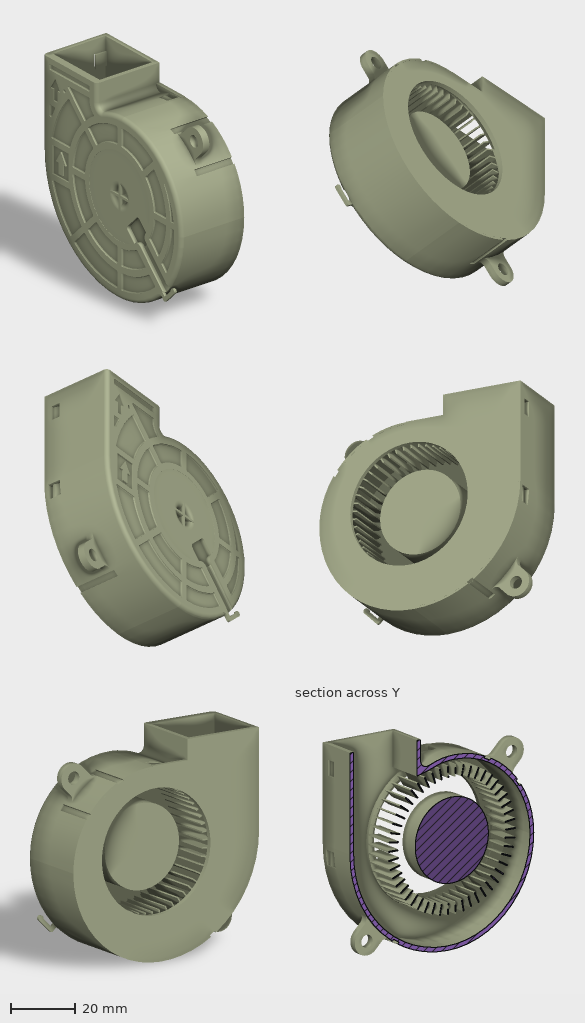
import cadquery as cq
import math


depth = 25.0
top_z = 34.5
scroll_radius = 37.15
centre_left = -1.7
centre_right = 1.05
centre_high = 1.55
centre_low = -2.65
centre_step_x = centre_right - centre_left
centre_step_z = centre_high - centre_low
radius_left = scroll_radius
radius_bottom = radius_left - centre_step_z
radius_right = radius_bottom - centre_step_x
radius_top = radius_right - centre_step_z
left_x = centre_left - radius_left
outlet_width = 27.05
outlet_right_x = left_x + outlet_width
tongue_radius = 2.1
inner_tongue_z = 22.7

wall = 1.6
front_wall = 2.65
rim_fillet = 1.4
rebate_inset = 0.7
cover_thickness = 1.6
cover_y = depth - cover_thickness
web_thickness = 1.4
web_end_x = 1.25
web_top_z = 27.7

panel_inset = 3.35
pocket_depth = 0.55
pocket_chamfer = 0.3
pocket_corner_radius = 0.4
spoke_half_width = 1.05
wire_spoke_half_width = 4.3
inner_ring = (17.5, 23.8)
outer_ring_radius = 26.1
outlet_ring_radius = 35.25
corner_ring_radius = 37.3
arrow_bar_half_height = 7.1
outlet_pocket_top = 28.3
wedge_top = 12.9
corner_pocket_z = (14.2, 18.4)
slot_z = (30.35, 32.45)
dot_place = (-27.9, 25.7)
dot_radius = 0.6

arrow_length = 7.9
arrow_head_length = 4.0
arrow_half_width = 2.5
arrow_stem_half_width = 1.05
outlet_arrow_tip = (-32.5, 28.4)
framed_arrow_tip = (-29.8, 4.0)
frame_x = (-33.85, -25.9)
frame_half_height = 5.0

label_radius = 15.4
label_depth = 0.1

bearing_hole_radius = 2.4
bearing_flare = front_wall - label_depth
bearing_rim_radius = bearing_hole_radius + bearing_flare
bar_width = 0.85

wire_pad_start = 9.05
wire_pad_half_width = 4.3
wire_pad_corner = 1.05
wire_pad_depth = 1.55
channel_half_width = 1.9
channel_depth = 1.0
channel_chamfer = 0.5
channel_start = 17.65
neck_radius = 2.1
hook_inner = 34.6
hook_width = 1.4
hook_foot = -3.5
hook_tip = 4.0
hook_depth = 1.0
hook_corner = 0.7
hook_tip_radius = 0.9
hook_flare = 1.75
hook_flat = 1.25
hook_root = 30.8

ear_places = ((23.4, 24.6), (-31.6, -27.95))
ear_y = 11.3
ear_thickness = 2.45
ear_radius = 4.6
ear_hole_radius = 2.1
ear_root_fillet = 2.1
ear_root_distance = (1.1 * ear_radius, 3 * ear_radius)

groove_width = 2.2
groove_end_y = 10.15
groove_depth = 0.7
groove_offset = 7.65
lower_groove_offset = 5.75

window_length = 5.2
window_y = (18.9, 22.1)
snap_gap = 0.15
snap_arm_thickness = 0.7
barb_flat = 0.5
outlet_snap_z = 26.9
scroll_snap_z = -2.45
top_snap_x = -2.5
top_snap_wall_z = centre_high + math.sqrt(radius_top**2 - (centre_right - top_snap_x) ** 2)

blade_count = 50
blade_outer_radius = 24.25
blade_inner_radius = 20.3
blade_thickness = 0.5
impeller_y = 3.1
rim_y = 20.95
rim_height = 1.1
rim_inner_radius = 22.85
rim_outer_radius = 24.4
base_radius = 21.0
base_thickness = 0.7
hub_radius = 14.0
hub_height = 14.0
inlet_radius = 20.45

beyond = 70.1
overrun = 0.7


def front_plane(y=0.0):
    """Plane facing -Y at the given depth, with local axes X and Z."""
    return cq.Workplane("XZ", origin=(0, y, 0))


def prism(profile_at, y_from, y_to):
    """Extrude the closed profile drawn by profile_at(workplane) between two depths."""
    return profile_at(front_plane(y_to)).extrude(y_to - y_from)


def block(x_range, y_range, z_range):
    """Box given by its extents along each axis."""
    size = [limits[1] - limits[0] for limits in (x_range, y_range, z_range)]
    return cq.Workplane("XY").box(*size, centered=False).translate((x_range[0], y_range[0], z_range[0]))


def disc(radius, y_from, y_to):
    """Cylinder on the fan axis."""
    return prism(lambda plane: plane.circle(radius), y_from, y_to)


def ring(inner, outer, y_from, y_to):
    """Tube on the fan axis."""
    return prism(lambda plane: plane.circle(outer).circle(inner), y_from, y_to)


def on_diagonal(shape):
    """Turn a shape built along +X so that it lies along the -45 degree direction."""
    return shape.rotate((0, 0, 0), (0, 1, 0), 45)


def diagonal_block(outward, y_range, sideways):
    """Box with its length along the -45 degree direction and its width along +45 degrees."""
    return on_diagonal(block(outward, y_range, sideways))


def scroll(y_from, y_to, inset=0.0, top=top_z, square_tongue=False):
    """Scroll and outlet outline, moved inward by inset and cut off flat at top.

    The corner between outlet and scroll is round unless square_tongue is set.
    """
    left = left_x + inset
    right = outlet_right_x - inset
    corner_radius = tongue_radius + inset
    corner_x = right + corner_radius
    reach = radius_top + tongue_radius
    corner_rise = math.sqrt(reach**2 - (centre_right - corner_x) ** 2)
    corner_z = centre_high + corner_rise
    share = (radius_top - inset) / reach
    tongue_end = (centre_right + (corner_x - centre_right) * share, centre_high + corner_rise * share)
    bottom = (centre_left, centre_low - radius_bottom + inset)
    side = (centre_right + radius_right - inset, centre_low)
    crown = (centre_right, centre_low + radius_right - inset)
    outline = (
        front_plane(y_to)
        .moveTo(left, top)
        .lineTo(left, centre_high)
        .radiusArc(bottom, -(radius_left - inset))
        .radiusArc(side, -(radius_bottom - inset))
        .radiusArc(crown, -(radius_right - inset))
        .radiusArc(tongue_end, -(radius_top - inset))
    )
    if square_tongue:
        outline = outline.lineTo(right, inner_tongue_z)
    else:
        outline = outline.radiusArc((right, corner_z), corner_radius)
    outline = outline.lineTo(right, top).close()
    return outline.extrude(y_to - y_from)


def arrow(tip, y_from, y_to):
    """Upward arrow with its tip at the given place."""
    x, z = tip
    head_z = z - arrow_head_length
    tail_z = z - arrow_length
    points = [
        (x, z),
        (x + arrow_half_width, head_z),
        (x + arrow_stem_half_width, head_z),
        (x + arrow_stem_half_width, tail_z),
        (x - arrow_stem_half_width, tail_z),
        (x - arrow_stem_half_width, head_z),
        (x - arrow_half_width, head_z),
    ]
    return prism(lambda plane: plane.polyline(points).close(), y_from, y_to)


def sector(first_angle, last_angle, y_from, y_to):
    """Triangle that covers the part between two directions less than 180 degrees apart."""
    points = [(0, 0)]
    for angle in (first_angle, last_angle):
        direction = math.radians(angle)
        points.append((beyond * math.cos(direction), beyond * math.sin(direction)))
    return prism(lambda plane: plane.polyline(points).close(), y_from, y_to)


def spokes():
    """Ribs left standing between the pockets."""
    through = (0, pocket_depth)
    rib = block((-beyond, beyond), through, (-spoke_half_width, spoke_half_width))
    ribs = rib
    for angle in (45, 90, 135):
        ribs = ribs.union(rib.rotate((0, 0, 0), (0, 1, 0), angle))
    wire_spoke = (-wire_spoke_half_width, wire_spoke_half_width)
    return ribs.union(diagonal_block((0, beyond), through, wire_spoke))


def panel_pockets():
    """All the shallow ring-shaped pockets of the front panel."""
    through = (0, pocket_depth)
    panel = scroll(*through, inset=panel_inset, top=outlet_pocket_top)
    ribs = spokes()
    wide_sector = sector(45, 90, *through).cut(disc(inner_ring[0], *through))
    inner = ring(*inner_ring, *through).union(wide_sector).intersect(panel).cut(ribs)

    arrow_bar = block((-beyond, -inner_ring[1]), through, (-arrow_bar_half_height, arrow_bar_half_height))
    outlet_margin = sector(135, 180, *through).cut(disc(outlet_ring_radius, *through))
    outer = panel.cut(disc(outer_ring_radius, *through)).cut(ribs).cut(arrow_bar).cut(outlet_margin)

    wedge_sector = sector(0, 45, *through)
    wedge = outer.intersect(wedge_sector).intersect(block((0, beyond), through, (0, wedge_top)))
    outer = outer.cut(wedge_sector)

    corner = block((left_x + panel_inset, -inner_ring[1]), through, corner_pocket_z)
    corner = corner.cut(disc(corner_ring_radius, *through)).intersect(sector(135, 180, *through))

    slot = block((left_x + panel_inset, outlet_right_x - panel_inset), through, slot_z)

    pockets = [wedge]
    for group in (inner, outer, corner, slot):
        for pocket in group.solids().vals():
            rounded = cq.Workplane(pocket).edges("|Y").fillet(pocket_corner_radius)
            pockets.append(rounded.faces(">Y").edges().chamfer(pocket_chamfer))
    return pockets


def arrow_marks():
    """Sunk arrow and dot by the outlet, and a sunk frame around a raised arrow."""
    through = (0, pocket_depth)
    frame = block(frame_x, through, (-frame_half_height, frame_half_height))
    frame = frame.cut(arrow(framed_arrow_tip, *through))
    dot = prism(lambda plane: plane.center(*dot_place).circle(dot_radius), *through)
    return [arrow(outlet_arrow_tip, *through), frame, dot]


def bearing_opening():
    """Flared hole in the front wall, crossed by two bars."""
    half_section = (
        cq.Workplane("XY")
        .lineTo(bearing_rim_radius, 0)
        .lineTo(bearing_rim_radius, label_depth)
        .radiusArc((bearing_hole_radius, front_wall), bearing_flare)
        .lineTo(0, front_wall)
        .close()
    )
    opening = half_section.revolve(360, (0, 0, 0), (0, 1, 0))
    bar = block((-beyond, beyond), (label_depth, front_wall), (-bar_width / 2, bar_width / 2))
    return opening.cut(bar).cut(bar.rotate((0, 0, 0), (0, 1, 0), 90))


def wire_exit():
    """Wire pad inside the label circle and the channel that leads from it to the rim."""
    pad_side = (-wire_pad_half_width, wire_pad_half_width)
    pad = block((wire_pad_start, label_radius + neck_radius), (0, wire_pad_depth), pad_side)
    pad = on_diagonal(pad.edges("|Y and <X").fillet(wire_pad_corner))
    pad = pad.intersect(disc(label_radius, 0, wire_pad_depth))
    channel_side = (-channel_half_width, channel_half_width)
    neck = diagonal_block((wire_pad_start + neck_radius, channel_start), (0, wire_pad_depth), channel_side)
    corner = math.sqrt(label_radius**2 - channel_half_width**2)
    pad = pad.union(neck)
    for side in (-channel_half_width, channel_half_width):
        x = (corner + side) / math.sqrt(2)
        z = (side - corner) / math.sqrt(2)
        near_corner = cq.selectors.NearestToPointSelector((x, wire_pad_depth / 2, z))
        pad = pad.edges("|Y").edges(near_corner).fillet(neck_radius)
    channel = block((channel_start, hook_inner), (0, channel_depth), channel_side)
    channel = channel.faces(">Y").edges("|X").chamfer(channel_chamfer)
    return pad.union(on_diagonal(channel))


def wire_hook():
    """L-shaped hook with a flared root and a round tip that holds the wire at the rim."""
    hook_outer = hook_inner + hook_width
    outline = (
        front_plane(hook_depth)
        .moveTo(hook_root, hook_foot - hook_flare)
        .lineTo(hook_outer - hook_corner - hook_flare - hook_flat, hook_foot - hook_flare)
        .radiusArc((hook_outer - hook_corner - hook_flat, hook_foot), hook_flare)
        .lineTo(hook_outer - hook_corner, hook_foot)
        .radiusArc((hook_outer, hook_foot + hook_corner), -hook_corner)
        .lineTo(hook_outer, hook_tip - hook_tip_radius)
        .lineTo(hook_inner, hook_tip - hook_tip_radius)
        .lineTo(hook_inner, hook_foot + hook_width)
        .lineTo(hook_root, hook_foot + hook_width)
        .close()
    )
    tip = front_plane(hook_depth).center(hook_outer - hook_tip_radius, hook_tip - hook_tip_radius)
    hook = outline.extrude(hook_depth).union(tip.circle(hook_tip_radius).extrude(hook_depth))
    return on_diagonal(hook).cut(scroll(0, hook_depth, inset=rim_fillet))


def ear(place):
    """Mounting ear pointing away from the fan axis along the 45 degree line."""
    x, z = place
    direction = math.copysign(1, x)
    length = 2 * ear_radius
    half = ear_radius / math.sqrt(2)
    reach = direction * length / math.sqrt(2)
    points = [
        (x - half, z + half),
        (x - half - reach, z + half - reach),
        (x + half - reach, z - half - reach),
        (x + half, z - half),
    ]
    y_range = (ear_y, ear_y + ear_thickness)
    arm = prism(lambda plane: plane.polyline(points).close(), *y_range)
    return arm.union(prism(lambda plane: plane.center(x, z).circle(ear_radius), *y_range))


def add_ear(body, place):
    """Join an ear to the scroll and round the two corners where its sides meet the wall."""
    joined = body.union(ear(place))
    centre = cq.Vector(place[0], ear_y + ear_thickness / 2, place[1])

    def is_root_corner(edge):
        distance = (edge.Center() - centre).Length
        return ear_root_distance[0] < distance < ear_root_distance[1]

    return joined.newObject(joined.edges("|Y").filter(is_root_corner).vals()).fillet(ear_root_fillet)


def grooves():
    """Shallow grooves in the outer wall beside the ears, open at the back."""
    span = (groove_end_y, depth)
    band = scroll(*span, inset=-overrun).cut(scroll(*span, inset=groove_depth))
    half = groove_width / 2
    cuts = []
    for outward, offset in ((1, -groove_offset), (1, groove_offset), (-1, lower_groove_offset)):
        sideways = sorted((0, outward * beyond))
        cuts.append(diagonal_block((offset - half, offset + half), span, sideways).intersect(band))
    return cuts


def windows():
    """Openings in the outer wall for the snaps; those on the scroll reach back to the cover."""
    half = window_length / 2
    side_x = (left_x - overrun, left_x + 2 * wall)
    top_x = (top_snap_x - half, top_snap_x + half)
    scroll_y = (window_y[0], cover_y)
    return [
        block(side_x, window_y, (outlet_snap_z - half, outlet_snap_z + half)),
        block(side_x, scroll_y, (scroll_snap_z - half, scroll_snap_z + half)),
        block(top_x, scroll_y, (top_snap_wall_z - 2 * wall, top_snap_wall_z + overrun)),
    ]


def snap():
    """Snap arm with a ramped barb, built with the outer wall face at X = 0 and +X outward."""
    arm_x = (-wall - snap_arm_thickness, -wall)
    barb_y = (window_y[0] + snap_gap, window_y[1])
    length = window_length - 2 * snap_gap
    points = [
        (arm_x[0], cover_y),
        (arm_x[1], cover_y),
        (arm_x[1], barb_y[1]),
        (-rebate_inset, barb_y[1]),
        (-rebate_inset, barb_y[1] - barb_flat),
        (arm_x[1], barb_y[0]),
        (arm_x[0], barb_y[0]),
    ]
    return cq.Workplane("XY", origin=(0, 0, -length / 2)).polyline(points).close().extrude(length)


def snaps():
    """The three snaps, trimmed to the space that the housing leaves for them."""
    places = ((left_x, outlet_snap_z, 180), (left_x, scroll_snap_z, 180), (top_snap_x, top_snap_wall_z, 90))
    space = scroll(front_wall, cover_y, inset=wall, square_tongue=True)
    for window in windows():
        space = space.union(window)
    turned = []
    for x, z, angle in places:
        turned.append(snap().rotate((0, 0, 0), (0, 1, 0), -angle).translate((x, 0, z)).intersect(space))
    return turned


def make_housing():
    """Scroll case with outlet, ears, wire hook and all its openings."""
    body = scroll(0, depth)
    body = body.faces("<Y").edges("not >Z").fillet(rim_fillet)
    web_z = (web_top_z - 2 * tongue_radius, web_top_z)
    body = body.union(block((outlet_right_x, web_end_x), (depth - web_thickness, depth), web_z))
    for place in ear_places:
        body = add_ear(body, place)
    body = body.union(wire_hook())
    body = body.cut(scroll(front_wall, depth, inset=wall, square_tongue=True))
    body = body.cut(scroll(cover_y, depth, inset=rebate_inset))
    for place in ear_places:
        body = body.cut(
            prism(lambda plane: plane.center(*place).circle(ear_hole_radius), ear_y, ear_y + ear_thickness)
        )
    body = body.cut(disc(label_radius, 0, label_depth))
    for pocket in panel_pockets() + arrow_marks() + grooves():
        body = body.cut(pocket)
    body = body.cut(wire_exit()).cut(bearing_opening())
    for window in windows():
        body = body.cut(window)
    return body


def make_cover():
    """Back plate with the air inlet and three snap arms."""
    cover = scroll(cover_y, depth, inset=rebate_inset)
    cover = cover.cut(disc(inlet_radius, cover_y, depth))
    for arm in snaps():
        cover = cover.union(arm)
    return cover


def make_impeller():
    """Drum of straight blades between a base disc and a rim ring, around a hub."""
    impeller = disc(base_radius, impeller_y, impeller_y + base_thickness)
    impeller = impeller.union(disc(hub_radius, impeller_y, impeller_y + hub_height))
    impeller = impeller.union(ring(rim_inner_radius, rim_outer_radius, rim_y, rim_y + rim_height))
    blade = block(
        (blade_inner_radius, blade_outer_radius),
        (impeller_y, rim_y),
        (-blade_thickness / 2, blade_thickness / 2),
    )
    blades = [blade.rotate((0, 0, 0), (0, 1, 0), 360 / blade_count * i).val() for i in range(blade_count)]
    fused = impeller.val().fuse(*blades)
    return cq.Workplane(fused)


housing = make_housing()
cover = make_cover()
impeller = make_impeller()
result = cq.Compound.makeCompound([*housing.vals(), *cover.vals(), *impeller.vals()])